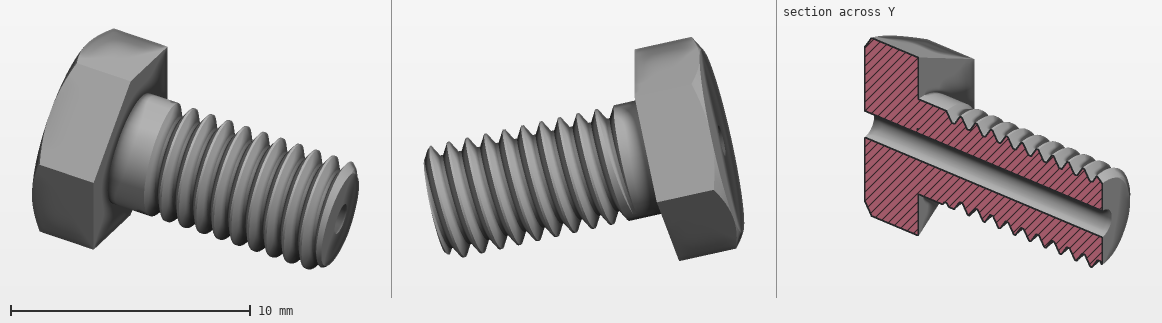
import cadquery as cq
import math

ACROSS_FLATS = 7.84
HEAD_HEIGHT = 2.795
HEAD_CHAMFER_ANGLE = 30.0

SHANK_DIAMETER = 4.85
SHANK_LENGTH = 9.525
TIP_CHAMFER = 0.36
HOLE_DIAMETER = 1.32

PITCH = 25.4 / 32
THREAD_DEPTH = 0.487
CREST_WIDTH = PITCH / 8
FLANK_ANGLE = 30.0
GROOVE_START = 1.60
RUNOUT_ANGLE = 130.0
CLEARANCE = 0.03

shank_radius = SHANK_DIAMETER / 2
root_radius = shank_radius - THREAD_DEPTH
cutter_radius = shank_radius + CLEARANCE
across_corners = ACROSS_FLATS / math.cos(math.radians(30))


def make_head():
    """Hexagonal prism with corners on +-Z, its outer corners trimmed by a cone."""
    prism = cq.Workplane("YZ").polygon(6, across_corners).extrude(-HEAD_HEIGHT)
    prism = prism.rotate((0, 0, 0), (1, 0, 0), 90)
    flat_radius = ACROSS_FLATS / 2
    rim_radius = across_corners
    cone_drop = (rim_radius - flat_radius) * math.tan(math.radians(HEAD_CHAMFER_ANGLE))
    envelope = (
        cq.Workplane("XY")
        .moveTo(-HEAD_HEIGHT, 0)
        .lineTo(-HEAD_HEIGHT, flat_radius)
        .lineTo(-HEAD_HEIGHT + cone_drop, rim_radius)
        .lineTo(-HEAD_HEIGHT + cone_drop, 0)
        .close()
        .revolve(360, (0, 0, 0), (1, 0, 0))
    )
    return prism.intersect(envelope)


def make_shank():
    """Plain cylinder with its seam on the -Y side."""
    shank = cq.Workplane("YZ").circle(shank_radius).extrude(SHANK_LENGTH)
    return shank.rotate((0, 0, 0), (1, 0, 0), 180)


def groove_corners():
    """Corners of the trapezoidal groove section as (radius, axial offset) pairs."""
    flank_slope = math.tan(math.radians(FLANK_ANGLE))
    half_mouth = (PITCH - CREST_WIDTH) / 2
    half_root = half_mouth - THREAD_DEPTH * flank_slope
    half_top = half_mouth + CLEARANCE * flank_slope
    return [
        (root_radius, -half_root),
        (cutter_radius, -half_top),
        (cutter_radius, half_top),
        (root_radius, half_root),
    ]


def groove_end_face(radial_shift):
    """Groove section in the local XZ plane: radius along X, bolt axis along Z."""
    points = [cq.Vector(radius + radial_shift, 0, z) for radius, z in groove_corners()]
    return cq.Face.makeFromWires(cq.Wire.makePolygon(points, close=True))


def helix(start_radius, axial_length, radial_growth):
    """Right-hand helix about Z whose radius grows evenly along its length."""
    if radial_growth == 0:
        return cq.Wire.makeHelix(PITCH, axial_length, start_radius)
    cone_angle = math.atan2(radial_growth, axial_length)
    stretch = 1 / math.cos(cone_angle)
    return cq.Wire.makeHelix(
        PITCH * stretch,
        axial_length * stretch,
        start_radius,
        angle=math.degrees(cone_angle),
    )


def make_groove(axial_length, radial_growth, axis_direction):
    """Groove cutter starting at GROOVE_START on +Y and winding along +X or -X."""
    edges = [
        helix(radius, axial_length, radial_growth).moved(cq.Location(cq.Vector(0, 0, z)))
        for radius, z in groove_corners()
    ]
    next_edges = edges[1:] + edges[:1]
    sides = [cq.Face.makeRuledSurface(a, b) for a, b in zip(edges, next_edges)]
    near_end = groove_end_face(0)
    far_end = groove_end_face(radial_growth).rotate(
        cq.Vector(0, 0, 0), cq.Vector(0, 0, 1), 360 * axial_length / PITCH
    )
    far_end = far_end.moved(cq.Location(cq.Vector(0, 0, axial_length)))
    cutter = cq.Solid.makeSolid(cq.Shell.makeShell(sides + [near_end, far_end])).fix()
    frame = cq.Plane(origin=(GROOVE_START, 0, 0), xDir=(0, 1, 0), normal=(axis_direction, 0, 0))
    return cq.Workplane(cutter.moved(cq.Location(frame)))


def cut_thread(shank):
    """Right-hand thread running off the tip, with its groove fading out towards the head."""
    full_depth_length = SHANK_LENGTH + PITCH - GROOVE_START
    runout_length = PITCH * RUNOUT_ANGLE / 360
    shank = shank.cut(make_groove(full_depth_length, 0, 1))
    return shank.cut(make_groove(runout_length, THREAD_DEPTH, -1))


def chamfer_tip(shank):
    """45 degree chamfer across the shank and the thread ends at the tip."""
    envelope = cq.Workplane("YZ").circle(shank_radius + CLEARANCE).extrude(SHANK_LENGTH)
    envelope = envelope.faces(">X").chamfer(TIP_CHAMFER + CLEARANCE)
    return shank.intersect(envelope)


def make_bore():
    """Hole along the whole bolt axis."""
    bore = cq.Workplane("YZ").workplane(offset=-HEAD_HEIGHT).circle(HOLE_DIAMETER / 2)
    return bore.extrude(HEAD_HEIGHT + SHANK_LENGTH)


result = chamfer_tip(cut_thread(make_shank())).union(make_head()).cut(make_bore())